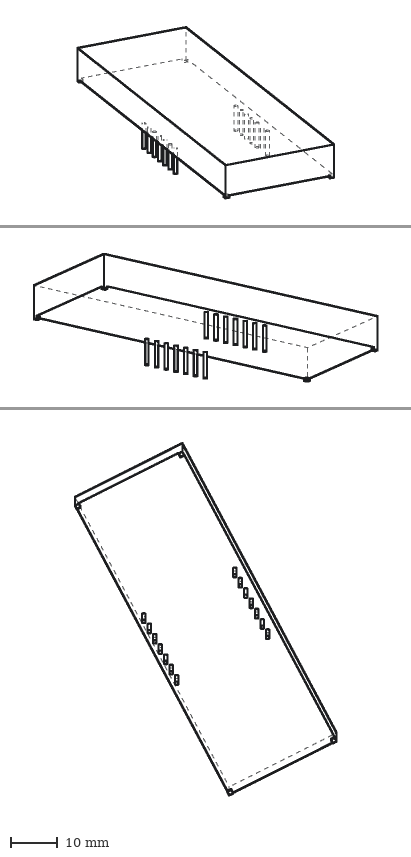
import cadquery as cq

body_length = 71.6
body_width = 25.8
total_height = 12.9
pin_length = 5.7
foot_height = 0.5
foot_size = 0.9

pin_diameter = 0.8
pins_per_row = 7
pin_row_length = 15.25
row_spacing = 21.85
pin_embed = 0.7

body_height = total_height - pin_length
pin_pitch = pin_row_length / (pins_per_row - 1)


def make_body():
    """Plain block whose underside is at the pin roots."""
    return (
        cq.Workplane("XY")
        .workplane(offset=pin_length)
        .rect(body_length, body_width)
        .extrude(body_height)
    )


def make_feet():
    """Small square standoff under each corner of the body."""
    return (
        cq.Workplane("XY")
        .workplane(offset=pin_length - foot_height)
        .rect(body_length - foot_size, body_width - foot_size, forConstruction=True)
        .vertices()
        .rect(foot_size, foot_size)
        .extrude(foot_height)
    )


def make_pins():
    """Two rows of round pins, with their tops sunk into the body."""
    return (
        cq.Workplane("XY")
        .rarray(pin_pitch, row_spacing, pins_per_row, 2)
        .circle(pin_diameter / 2)
        .extrude(pin_length + pin_embed)
    )


result = make_body().union(make_feet()).union(make_pins())